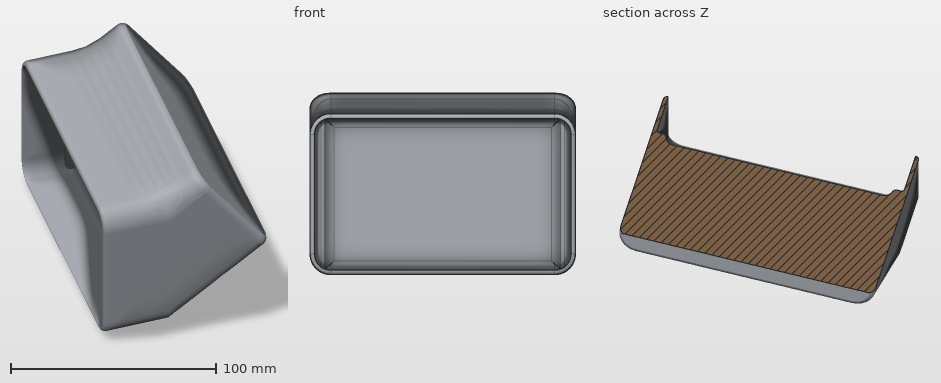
import cadquery as cq
import math

inner_width = 125.0
inner_height = 74.0
wall = 2.2
inner_corner_radius = 8.0
width = inner_width + 2 * wall
height = inner_height + 2 * wall
corner_radius = inner_corner_radius + wall
rim_radius = 2.0

bend_distance = 33.8
bend_angle = math.radians(35.0)
tail_length = 64.86
tail_direction = cq.Vector(0, math.cos(bend_angle), math.sin(bend_angle))
bend_fillet_radius = 40.0
cap_edge_radius = 4.0

ledge_depth = 21.2
ledge_fillet_radius = 1.0
ledge_width = 5.0
ledge_edge_radius = 2.0
floor_depth = 26.0
floor_fillet_radius = 4.5

overlap = 5.0
clearance = 4 * height
selection_margin = 0.1


def rounded_section(section_width, section_height, radius, depth):
    """Solid of rounded rectangular section running back from the front plane."""
    return (
        cq.Workplane("XZ")
        .center(0, height / 2)
        .rect(section_width, section_height)
        .extrude(-depth)
        .edges("|Y")
        .fillet(radius)
    )


def space_beyond(distance):
    """Block filling the space past a square cut at a distance along the tail."""
    cut_plane = cq.Plane(
        origin=cq.Vector(0, bend_distance, 0) + tail_direction * distance,
        xDir=(1, 0, 0),
        normal=tail_direction,
    )
    return cq.Workplane(cut_plane).rect(clearance, clearance).extrude(clearance)


def make_tail(length):
    """Slanted continuation of the front section, cut square to its own direction."""
    section = rounded_section(width, height, corner_radius, bend_distance).faces(">Y").val()
    slant = tail_direction * (length + overlap)
    tail = cq.Workplane(cq.Solid.extrudeLinear(section, slant))
    return tail.cut(space_beyond(length))


def make_body():
    """Outer shape with the blended upper bend and the rounded end cap and rim."""
    rounding_depth = math.sqrt(cap_edge_radius ** 2 - (cap_edge_radius - wall) ** 2)
    full_length = tail_length - rounding_depth + cap_edge_radius
    front = rounded_section(width, height, corner_radius, bend_distance)
    body = front.union(make_tail(full_length))
    upper_bend = cq.selectors.BoxSelector(
        (-width, bend_distance - selection_margin, height - corner_radius + selection_margin),
        (width, bend_distance + selection_margin, height + selection_margin),
    )
    body = body.edges(upper_bend).fillet(bend_fillet_radius)
    tail_end = cq.selectors.DirectionMinMaxSelector(tail_direction, True)
    body = body.faces(tail_end).edges().fillet(cap_edge_radius)
    body = body.cut(space_beyond(tail_length))
    return body.faces("<Y").edges().fillet(rim_radius)


def make_stepped_profile():
    """Plan outline of the deep pocket: floor, floor fillets and rounded ledge edges."""
    floor_x = inner_width / 2 - ledge_width - floor_fillet_radius
    floor_center_y = floor_depth - floor_fillet_radius
    edge_center_y = ledge_depth + ledge_edge_radius
    radius_sum = floor_fillet_radius + ledge_edge_radius
    rise = edge_center_y - floor_center_y
    reach = math.sqrt(radius_sum ** 2 - rise ** 2)
    edge_x = floor_x + reach
    share = floor_fillet_radius / radius_sum
    tangent = (floor_x + reach * share, floor_center_y + rise * share)
    tangent_angle = math.atan2(rise, reach)

    mid_angle = (tangent_angle + math.pi / 2) / 2
    floor_mid = (
        floor_x + floor_fillet_radius * math.cos(mid_angle),
        floor_center_y + floor_fillet_radius * math.sin(mid_angle),
    )
    edge_mid = (
        edge_x - ledge_edge_radius * math.cos(mid_angle),
        edge_center_y - ledge_edge_radius * math.sin(mid_angle),
    )
    half = (
        cq.Workplane("XY")
        .moveTo(0, -overlap)
        .lineTo(edge_x, -overlap)
        .lineTo(edge_x, ledge_depth)
        .threePointArc(edge_mid, tangent)
        .threePointArc(floor_mid, (floor_x, floor_depth))
        .lineTo(0, floor_depth)
        .close()
        .extrude(height)
    )
    return half.union(half.mirror("YZ"))


def make_cavity():
    """Space inside the opening: full section down to the ledges, narrower to the floor."""
    upper = rounded_section(inner_width, inner_height, inner_corner_radius, ledge_depth)
    upper = upper.faces(">Y").edges().fillet(ledge_fillet_radius)
    deep = rounded_section(inner_width, inner_height, inner_corner_radius, floor_depth)
    deep = deep.faces(">Y").edges().fillet(floor_fillet_radius)
    return upper.union(deep.intersect(make_stepped_profile()))


result = make_body().cut(make_cavity())